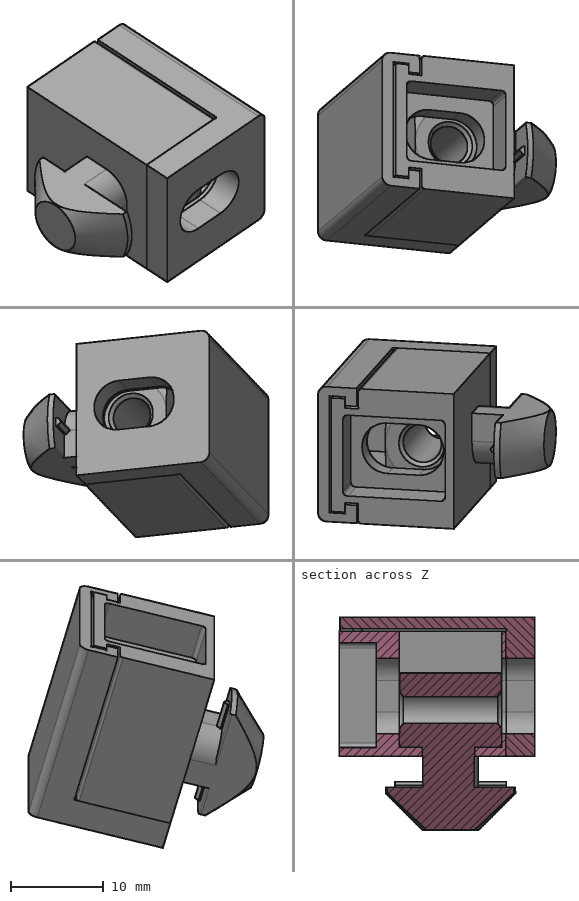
import cadquery as cq
import math


BLOCK_LENGTH = 21.1
BLOCK_SIZE = 15.0
HALF_SIZE = BLOCK_SIZE / 2
HOUSING_LENGTH = 18.0
EPS = 0.23

SHOULDER_Y = 10.5
SHOULDER_FILLET = 0.3
LIP_BACK_Y = 12.0
TONGUE_BACK_Y = 13.5
TONGUE_HALF_HEIGHT = 6.3
NECK_HALF_HEIGHT = 5.25
NECK_FILLET = 0.14

POCKET_DEPTH = 4.0
POCKET_FRONT_Y = 0.96
POCKET_BACK_Y = 12.23
POCKET_HEIGHT = 9.0
POCKET_FILLET = 0.5

SLOT_FRONT_Y = 2.0
SLOT_BACK_Y = 11.02
SLOT_HEIGHT = 5.6

PAD_DIAMETER = 0.96
PAD_COUNT = 3
PAD_PITCH = 5.0
PAD_X = 2.0

COVER_START_X = 0.1
COVER_EDGE_FILLET = 0.96
CHANNEL_BACK_Y = 13.75
CHANNEL_HALF_HEIGHT = 6.5
LIP_FRONT_Y = 10.75
LIP_HALF_OPENING = 5.5

BOLT_X = 12.0
STEM_WIDTH = 6.01
STEM_THICKNESS = 6.2
STEM_HALF_THICKNESS = STEM_THICKNESS / 2
STEM_FILLET = 3.12
HEAD_RADIUS = 7.0
HEAD_TOP_Y = -3.3
HEAD_RIM_Y = -3.95
OVERALL_DEPTH = 22.95
HEAD_TIP_Y = BLOCK_SIZE - OVERALL_DEPTH
HEAD_TIP_RADIUS = HEAD_RADIUS - (HEAD_RIM_Y - HEAD_TIP_Y)
HEAD_FILLET = 0.15
RIDGE_LENGTH = 12.0
RIDGE_HALF_WIDTH = 0.45
RIDGE_SIDE_HEIGHT = 0.18
RIDGE_TIP_FILLET = 0.11
SCREW_Y = 5.0
SCREW_HOLE_DIAMETER = 4.2
COUNTERSINK_DIAMETER = 5.0
BAR_SIZE = 7.99
BAR_HALF_SIZE = BAR_SIZE / 2
BAR_FRONT_Y = SCREW_Y - BAR_HALF_SIZE
BAR_BACK_Y = SCREW_Y + BAR_HALF_SIZE
BAR_HALF_LENGTH = 5.5
BAR_CHAMFER_ANGLE = 15.0


def box(x0, x1, y0, y1, z0, z1):
    """Box between two opposite corners."""
    return cq.Workplane("XY").box(x1 - x0, y1 - y0, z1 - z0, centered=False).translate((x0, y0, z0))


def symmetric_box(x0, x1, y0, y1, half_height):
    """Box centred on Z = 0."""
    return box(x0, x1, y0, y1, -half_height, half_height)


def screw_slot():
    """Round-ended slot cutter along the whole block."""
    return (
        cq.Workplane("YZ")
        .center((SLOT_FRONT_Y + SLOT_BACK_Y) / 2, 0)
        .slot2D(SLOT_BACK_Y - SLOT_FRONT_Y, SLOT_HEIGHT)
        .extrude(BLOCK_LENGTH + EPS)
    )


def bolt_stem(y0, y1):
    """Rectangular stem with two diagonally opposite edges widely rounded."""
    stem = box(
        BOLT_X - STEM_WIDTH / 2, BOLT_X + STEM_WIDTH / 2, y0, y1, -STEM_HALF_THICKNESS, STEM_HALF_THICKNESS
    )
    rounded_edges = stem.edges("|Y and >X and >Z").add(stem.edges("|Y and <X and <Z"))
    return stem.newObject(rounded_edges.vals()).fillet(STEM_FILLET)




def housing_body():
    """Block, neck and tongue with their rounded edges."""
    block = symmetric_box(0, HOUSING_LENGTH, 0, SHOULDER_Y, HALF_SIZE)
    block = block.edges("|X and >Y").fillet(SHOULDER_FILLET)
    neck = symmetric_box(0, HOUSING_LENGTH, SHOULDER_Y - EPS, LIP_BACK_Y, NECK_HALF_HEIGHT)
    tongue = symmetric_box(0, HOUSING_LENGTH, LIP_BACK_Y, TONGUE_BACK_Y, TONGUE_HALF_HEIGHT)
    body = block.union(neck).union(tongue)
    for y in (SHOULDER_Y, LIP_BACK_Y):
        for z in (-NECK_HALF_HEIGHT, NECK_HALF_HEIGHT):
            corner = cq.selectors.NearestToPointSelector((HOUSING_LENGTH / 2, y, z))
            body = body.edges("|X").edges(corner).fillet(NECK_FILLET)
    return body


def end_pocket():
    pocket = symmetric_box(-EPS, POCKET_DEPTH, POCKET_FRONT_Y, POCKET_BACK_Y, POCKET_HEIGHT / 2)
    return pocket.edges("|X").fillet(POCKET_FILLET)


def bar_cavity():
    """Space for the cross bar, open to the back."""
    return symmetric_box(
        BOLT_X - BAR_HALF_LENGTH, BOLT_X + BAR_HALF_LENGTH, BAR_FRONT_Y, TONGUE_BACK_Y, BAR_HALF_SIZE
    )


def tongue_pads():
    return (
        cq.Workplane("XZ", origin=(PAD_X, CHANNEL_BACK_Y, 0))
        .rarray(0.23, PAD_PITCH, 1, PAD_COUNT)
        .circle(PAD_DIAMETER / 2)
        .extrude(CHANNEL_BACK_Y - TONGUE_BACK_Y)
    )


def make_housing():
    return (
        housing_body()
        .cut(end_pocket())
        .cut(screw_slot())
        .cut(bar_cavity())
        .cut(bolt_stem(0, BAR_FRONT_Y))
        .union(tongue_pads())
    )




def make_cover():
    blank = symmetric_box(COVER_START_X, BLOCK_LENGTH, 0, BLOCK_SIZE, HALF_SIZE)
    blank = blank.edges("|X and >Y").fillet(COVER_EDGE_FILLET)
    housing_space = symmetric_box(0, HOUSING_LENGTH, 0, LIP_FRONT_Y, HALF_SIZE)
    lip_opening = symmetric_box(0, HOUSING_LENGTH, LIP_FRONT_Y, LIP_BACK_Y, LIP_HALF_OPENING)
    channel = symmetric_box(0, HOUSING_LENGTH, LIP_BACK_Y, CHANNEL_BACK_Y, CHANNEL_HALF_HEIGHT)
    return blank.cut(housing_space).cut(lip_opening).cut(channel).cut(screw_slot())




def bolt_head():
    """Disc with a conical tip, cut to the stem thickness."""
    head = (
        cq.Workplane("XY")
        .polyline(
            [
                (0, HEAD_TOP_Y),
                (HEAD_RADIUS, HEAD_TOP_Y),
                (HEAD_RADIUS, HEAD_RIM_Y),
                (HEAD_TIP_RADIUS, HEAD_TIP_Y),
                (0, HEAD_TIP_Y),
            ]
        )
        .close()
        .revolve(360, (0, 0, 0), (0, 1, 0))
        .translate((BOLT_X, 0, 0))
    )
    slab = symmetric_box(
        BOLT_X - HEAD_RADIUS, BOLT_X + HEAD_RADIUS, HEAD_TIP_Y, HEAD_TOP_Y, STEM_HALF_THICKNESS
    )
    return head.intersect(slab).edges("|X and >Y").fillet(HEAD_FILLET)


def head_ridge():
    """Pointed ridge along X on the clamping face of the head."""
    side_y = HEAD_TOP_Y + RIDGE_SIDE_HEIGHT
    return (
        cq.Workplane("YZ", origin=(BOLT_X - RIDGE_LENGTH / 2, 0, 0))
        .polyline(
            [
                (HEAD_TOP_Y, -RIDGE_HALF_WIDTH),
                (side_y, -RIDGE_HALF_WIDTH),
                (side_y + RIDGE_HALF_WIDTH, 0),
                (side_y, RIDGE_HALF_WIDTH),
                (HEAD_TOP_Y, RIDGE_HALF_WIDTH),
            ]
        )
        .close()
        .extrude(RIDGE_LENGTH)
        .edges("|X and >Y")
        .fillet(RIDGE_TIP_FILLET)
    )


def turned_about_screw_axis(end_radius, middle_radius, cone_depth):
    """Round shape as long as the cross bar, running conically from the end radius to the middle radius."""
    cone_x = BAR_HALF_LENGTH - cone_depth
    return (
        cq.Workplane("XY")
        .polyline(
            [
                (-BAR_HALF_LENGTH, 0),
                (-BAR_HALF_LENGTH, end_radius),
                (-cone_x, middle_radius),
                (cone_x, middle_radius),
                (BAR_HALF_LENGTH, end_radius),
                (BAR_HALF_LENGTH, 0),
            ]
        )
        .close()
        .revolve(360, (0, 0, 0), (1, 0, 0))
        .translate((BOLT_X, SCREW_Y, 0))
    )


def cross_bar():
    """Square bar along X with its corners chamfered by a cone at both ends."""
    bar = symmetric_box(
        BOLT_X - BAR_HALF_LENGTH, BOLT_X + BAR_HALF_LENGTH, BAR_FRONT_Y, BAR_BACK_Y, BAR_HALF_SIZE
    )
    corner_radius = BAR_HALF_SIZE * math.sqrt(2)
    chamfer_depth = (corner_radius - BAR_HALF_SIZE) * math.tan(math.radians(BAR_CHAMFER_ANGLE))
    turned_shape = turned_about_screw_axis(BAR_HALF_SIZE, corner_radius, chamfer_depth)
    return bar.intersect(turned_shape)


def screw_hole():
    """Hole along X through the cross bar, countersunk at 45 degrees at both ends."""
    rim_radius = COUNTERSINK_DIAMETER / 2
    hole_radius = SCREW_HOLE_DIAMETER / 2
    return turned_about_screw_axis(rim_radius, hole_radius, rim_radius - hole_radius)


def make_bolt():
    stem = bolt_stem(HEAD_RIM_Y, BAR_FRONT_Y)
    return bolt_head().union(head_ridge()).union(stem).union(cross_bar()).cut(screw_hole())


housing = make_housing()
cover = make_cover()
bolt = make_bolt()

result = cq.Compound.makeCompound([body.solids().val() for body in (housing, cover, bolt)])